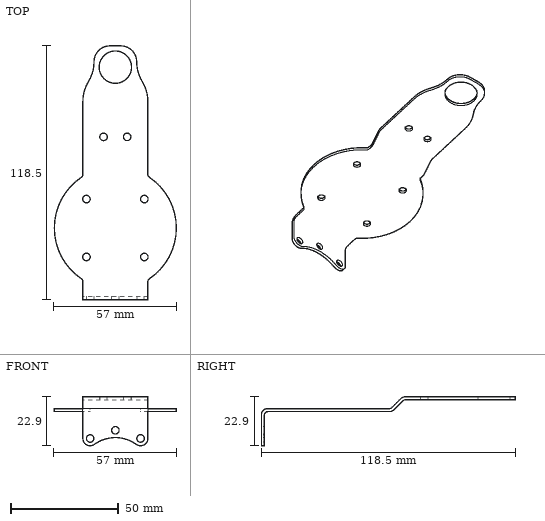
import cadquery as cq
import math

thickness = 1.5
bend_inner_radius = 1.5
bend_mid_radius = bend_inner_radius + thickness / 2
hole_diameter = 3.4

disc_radius = 28.5
disc_hole_pitch = 27.0
neck_fillet_radius = 1.5

flange_front_y = -33.5
flange_pitch_radius = 20.0
flange_hole_angle = math.radians(36)
flange_middle_hole_z = -10.15
flange_corner_radius = 3.45
flange_pitch_centre_z = flange_middle_hole_z - flange_pitch_radius
flange_side_hole_x = flange_pitch_radius * math.sin(flange_hole_angle)
flange_side_hole_z = flange_pitch_centre_z + flange_pitch_radius * math.cos(flange_hole_angle)
flange_bottom_z = flange_side_hole_z - flange_corner_radius
flange_relief_radius = flange_pitch_radius - flange_corner_radius
strip_half_width = flange_side_hole_x + flange_corner_radius

overall_height = 22.93
arm_top_z = flange_bottom_z + overall_height
step_angle = math.radians(45)
step_start_y = 26.3
arm_hole_y = 42.5
arm_hole_pitch = 11.0

eye_centre_y = 75.0
eye_diameter = 15.0
eye_half_width = 10.0
tip_y = 85.0
tip_corner_radius = 7.5
shoulder_start_y = 59.0


def make_bent_sheet():
    """Flange, round plate level, step and arm as one constant-width bent sheet."""
    mid_z = -thickness / 2
    arm_mid_z = arm_top_z - thickness / 2
    flange_mid_y = flange_front_y + thickness / 2
    bend_y = bend_mid_radius * math.sin(step_angle)
    bend_z = bend_mid_radius * (1 - math.cos(step_angle))
    slope_height = arm_mid_z - mid_z - 2 * bend_z
    slope_length_y = slope_height / math.tan(step_angle)
    slope_start = (step_start_y + bend_y, mid_z + bend_z)
    slope_end = (slope_start[0] + slope_length_y, arm_mid_z - bend_z)
    arm_start_y = slope_end[0] + bend_y

    bend_path = (
        cq.Workplane("YZ")
        .moveTo(flange_mid_y, flange_bottom_z)
        .lineTo(flange_mid_y, mid_z - bend_mid_radius)
        .tangentArcPoint((flange_mid_y + bend_mid_radius, mid_z), relative=False)
        .lineTo(step_start_y, mid_z)
        .tangentArcPoint(slope_start, relative=False)
        .lineTo(*slope_end)
        .tangentArcPoint((arm_start_y, arm_mid_z), relative=False)
        .lineTo(tip_y, arm_mid_z)
    )
    sheet_section = cq.Workplane("XY", origin=(0, flange_mid_y, flange_bottom_z))
    return sheet_section.rect(2 * disc_radius, thickness).sweep(bend_path)


def make_right_arm_edge(outline):
    """Continue an outline up the right side of the arm and round to the tip centre."""
    eye_side_y = tip_y - tip_corner_radius
    s_curve_half = (
        (eye_half_width - strip_half_width) / 2,
        (eye_side_y - shoulder_start_y) / 2,
    )
    return (
        outline.lineTo(strip_half_width, shoulder_start_y)
        .tangentArcPoint(s_curve_half)
        .tangentArcPoint(s_curve_half)
        .tangentArcPoint((-tip_corner_radius, tip_corner_radius))
        .lineTo(0, tip_y)
    )


def make_plan_outline():
    """Solid column with the part's outline in plan: strip, disc and filleted necks."""
    outline = cq.Workplane("XY", origin=(0, 0, flange_bottom_z)).moveTo(0, flange_front_y)
    outline = make_right_arm_edge(outline.lineTo(strip_half_width, flange_front_y))
    strip = outline.close().extrude(overall_height)
    strip = strip.union(strip.mirror("YZ"))
    disc = cq.Workplane("XY", origin=(0, 0, flange_bottom_z)).circle(disc_radius).extrude(overall_height)
    column = strip.union(disc)
    mid_height = flange_bottom_z + overall_height / 2
    neck_y = math.sqrt(disc_radius**2 - strip_half_width**2)
    for x in (-strip_half_width, strip_half_width):
        for y in (-neck_y, neck_y):
            neck_edge = cq.NearestToPointSelector((x, y, mid_height))
            column = column.edges("|Z").edges(neck_edge).fillet(neck_fillet_radius)
    return column


def make_flange_cutter():
    """Everything below the flange's rounded corners and its arched lower edge."""
    tangent_x = flange_relief_radius * math.sin(flange_hole_angle)
    tangent_z = flange_pitch_centre_z + flange_relief_radius * math.cos(flange_hole_angle)
    return (
        cq.Workplane("XZ", origin=(0, flange_front_y, 0))
        .moveTo(-strip_half_width, flange_side_hole_z)
        .threePointArc((-flange_side_hole_x, flange_bottom_z), (-tangent_x, tangent_z))
        .threePointArc((0, flange_pitch_centre_z + flange_relief_radius), (tangent_x, tangent_z))
        .threePointArc((flange_side_hole_x, flange_bottom_z), (strip_half_width, flange_side_hole_z))
        .lineTo(disc_radius, flange_side_hole_z)
        .lineTo(disc_radius, flange_bottom_z - thickness)
        .lineTo(-disc_radius, flange_bottom_z - thickness)
        .lineTo(-disc_radius, flange_side_hole_z)
        .close()
        .extrude(-thickness)
    )


def make_plan_hole_cutters():
    """Vertical cylinders for the disc holes, the arm holes and the eye."""
    plane = cq.Workplane("XY", origin=(0, 0, flange_bottom_z))
    disc_points = plane.rect(disc_hole_pitch, disc_hole_pitch, forConstruction=True).vertices()
    disc_holes = disc_points.circle(hole_diameter / 2).extrude(overall_height)
    arm_points = plane.center(0, arm_hole_y).rarray(arm_hole_pitch, 1, 2, 1)
    arm_holes = arm_points.circle(hole_diameter / 2).extrude(overall_height)
    eye = plane.center(0, eye_centre_y).circle(eye_diameter / 2).extrude(overall_height)
    return disc_holes.union(arm_holes).union(eye)


def make_flange_hole_cutters():
    """Cylinders through the flange for its middle hole and two side holes."""
    hole_places = [
        (-flange_side_hole_x, flange_side_hole_z),
        (0, flange_middle_hole_z),
        (flange_side_hole_x, flange_side_hole_z),
    ]
    return (
        cq.Workplane("XZ", origin=(0, flange_front_y, 0))
        .pushPoints(hole_places)
        .circle(hole_diameter / 2)
        .extrude(-thickness)
    )


result = (
    make_bent_sheet()
    .intersect(make_plan_outline())
    .cut(make_flange_cutter())
    .cut(make_plan_hole_cutters())
    .cut(make_flange_hole_cutters())
)